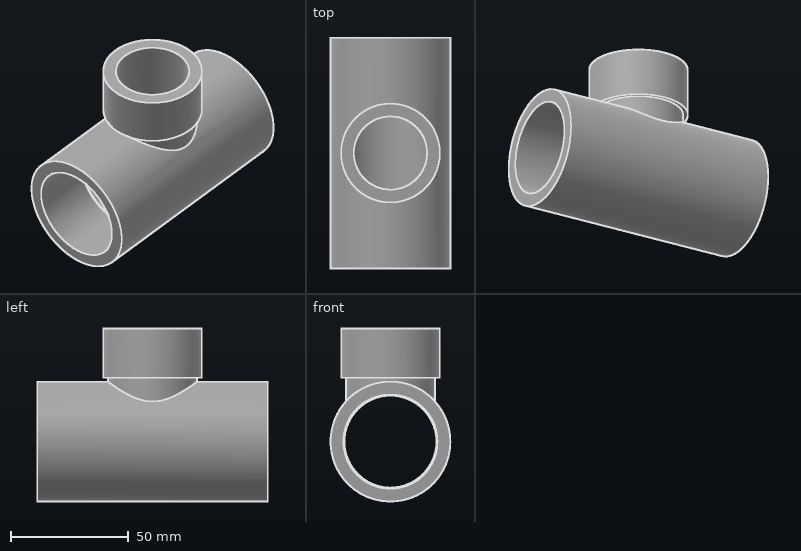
import cadquery as cq

run_length = 98.0
run_diameter = 51.0
run_bore = 39.0
run_socket_bore = 40.0
run_socket_depth = 26.0

branch_top = 48.0
collar_diameter = 41.9
collar_height = 21.0
neck_diameter = 37.9
branch_bore = 31.1


def run_cylinder(diameter, length, start):
    """Cylinder about the Y axis, from Y = start towards +Y."""
    plane = cq.Workplane("XZ", origin=(0, start, 0))
    return plane.circle(diameter / 2).extrude(-length)


def branch_cylinder(diameter, bottom):
    """Cylinder about the Z axis, from Z = bottom up to the branch top."""
    plane = cq.Workplane("XY").workplane(offset=bottom)
    return plane.circle(diameter / 2).extrude(branch_top - bottom)


run_start = -run_length / 2
body = run_cylinder(run_diameter, run_length, run_start)
body = body.union(branch_cylinder(neck_diameter, 0))
body = body.union(branch_cylinder(collar_diameter, branch_top - collar_height))

body = body.cut(run_cylinder(run_bore, run_length, run_start))
for socket_start in (run_start, -run_start - run_socket_depth):
    body = body.cut(run_cylinder(run_socket_bore, run_socket_depth, socket_start))

result = body.cut(branch_cylinder(branch_bore, 0))